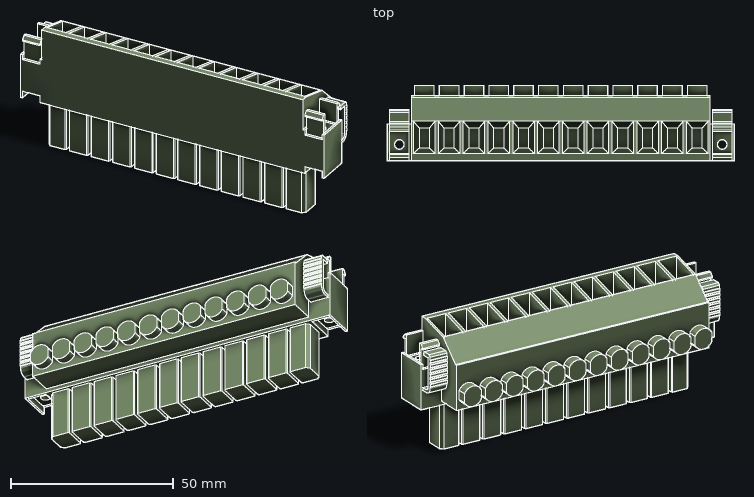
import cadquery as cq


POLES = 12
ROW_SPAN = 83.9
PITCH = ROW_SPAN / (POLES - 1)

BODY_LENGTH = 91.7
BODY_HEIGHT = 25.6
BODY_DEPTH = 20.1
FRONT_LAND = 2.2
RIDGE_Y = 12.3
RIDGE_HEIGHT = 23.0
BACK_LAND = 0.6
BACK_HEIGHT = 16.4
REAR_STEP = 1.3

TOTAL_LENGTH = 106.7
FLANGE_LENGTH = (TOTAL_LENGTH - BODY_LENGTH) / 2
FLANGE_DEPTH = 11.3
FLANGE_HEIGHT = 15.1
FLANGE_WALL = 1.0
TOP_NOTCH_Z = 13.4
FLANGE_X = BODY_LENGTH / 2 + FLANGE_LENGTH / 2

ENTRY_WIDTH = 6.6
ENTRY_FRONT_Y = FRONT_LAND
RIDGE_GAP = 0.1
ENTRY_BACK_Y = RIDGE_Y - RIDGE_GAP
ENTRY_STRAIGHT_BOTTOM = 14.9
ENTRY_FLOOR = 11.7
FLOOR_WIDTH = 3.1
FLOOR_FRONT_Y = 4.0
FLOOR_BACK_Y = 10.0

SCREW_RADIUS = 3.4
SCREW_WIDTH = 6.1
SCREW_LENGTH = 3.1
SCREW_Z = 6.3

LEG_WIDTH = 6.6
LEG_FRONT_Y = 2.2
LEG_DEPTH = 7.9
LEG_LENGTH = 15.6
LEG_CHAMFER = 0.3
OUTER_LEG_CHAMFER = 1.1

LATCH_WIDTH = 6.1
CORE_BOTTOM = 2.3
CORE_TOP = 14.3
LATCH_HOLE_DIAMETER = 2.9
LATCH_HOLE_Y = 5.0
PRONG_THICKNESS = 1.0
PRONG_FOOT_CHAMFER = 0.3
PRONG_TOP = 21.5
HOOK_TIP_Z = 20.4
HOOK_BOTTOM = 20.0
HOOK_REACH = 1.0
CORE_FRONT_Y = FLANGE_WALL
CORE_BACK_Y = FLANGE_DEPTH - FLANGE_WALL

LEVER_BACK_Y = 15.5
LEVER_THICKNESS = 1.3
LEVER_BOTTOM = 6.4
LEVER_ARM_THICKNESS = 1.0
LEVER_TOP = 19.6
LEVER_OUTER_RADIUS = 2.1
LEVER_INNER_RADIUS = 1.3
LEVER_TOP_CHAMFER = 0.6
LEVER_LIP_Y = 11.6
LEVER_LIP_CHAMFER = (0.4, 0.9)
RIB_COUNT = 6
RIB_PITCH = 1.6
RIB_HEIGHT = 1.0
RIB_DEPTH = 0.3
TOP_RIB_Z = 18.0


def box(x_center, width, y_range, z_range):
    """Box centred at x_center in X, between the given Y and Z limits."""
    y0, y1 = y_range
    z0, z1 = z_range
    return (
        cq.Workplane("XY", origin=(x_center, (y0 + y1) / 2, z0))
        .box(width, y1 - y0, z1 - z0, centered=(True, True, False))
    )


def extrude_profile(yz_outline, x_center, width):
    """Prism from a closed (Y, Z) outline, centred at x_center."""
    return (
        cq.Workplane("YZ", origin=(x_center, 0, 0))
        .polyline(yz_outline).close()
        .extrude(width / 2, both=True)
    )


def pole_positions():
    return [(i - (POLES - 1) / 2) * PITCH for i in range(POLES)]


def make_body():
    outline = [
        (0, 0),
        (FLANGE_DEPTH, 0),
        (FLANGE_DEPTH, REAR_STEP),
        (BODY_DEPTH, REAR_STEP),
        (BODY_DEPTH, BACK_HEIGHT),
        (BODY_DEPTH - BACK_LAND, BACK_HEIGHT),
        (RIDGE_Y, RIDGE_HEIGHT),
        (FRONT_LAND, BODY_HEIGHT),
        (0, BODY_HEIGHT),
    ]
    return extrude_profile(outline, 0, BODY_LENGTH)


def make_wire_entry(x):
    """Cutter: straight-sided mouth above a funnel that narrows to a flat floor."""
    mouth = box(
        x, ENTRY_WIDTH, (ENTRY_FRONT_Y, ENTRY_BACK_Y), (ENTRY_STRAIGHT_BOTTOM, BODY_HEIGHT)
    )
    mouth_y = (ENTRY_FRONT_Y + ENTRY_BACK_Y) / 2
    floor_y = (FLOOR_FRONT_Y + FLOOR_BACK_Y) / 2
    funnel = (
        cq.Workplane("XY", origin=(x, 0, ENTRY_FLOOR))
        .center(0, floor_y)
        .rect(FLOOR_WIDTH, FLOOR_BACK_Y - FLOOR_FRONT_Y)
        .workplane(offset=ENTRY_STRAIGHT_BOTTOM - ENTRY_FLOOR)
        .center(0, mouth_y - floor_y)
        .rect(ENTRY_WIDTH, ENTRY_BACK_Y - ENTRY_FRONT_Y)
        .loft()
    )
    return mouth.union(funnel)


def make_screw_head(x):
    y_range = (BODY_DEPTH, BODY_DEPTH + SCREW_LENGTH)
    disc = (
        cq.Workplane("XZ", origin=(x, BODY_DEPTH, SCREW_Z))
        .circle(SCREW_RADIUS)
        .extrude(-SCREW_LENGTH)
    )
    flats = box(x, SCREW_WIDTH, y_range, (SCREW_Z - SCREW_RADIUS, SCREW_Z + SCREW_RADIUS))
    return disc.intersect(flats)


def make_leg(x, left_chamfer, right_chamfer):
    leg = box(x, LEG_WIDTH, (LEG_FRONT_Y, LEG_FRONT_Y + LEG_DEPTH), (-LEG_LENGTH, 0))
    leg = leg.edges("|Z and <X").chamfer(left_chamfer)
    return leg.edges("|Z and >X").chamfer(right_chamfer)


def make_flange(side):
    """End flange, hollowed to hold a latch; side is -1 (left) or +1 (right)."""
    x = side * FLANGE_X
    flange = box(x, FLANGE_LENGTH, (0, FLANGE_DEPTH), (0, FLANGE_HEIGHT))
    cavity = box(x, LATCH_WIDTH, (CORE_FRONT_Y, CORE_BACK_Y), (0, FLANGE_HEIGHT))
    top_notch = box(x, LATCH_WIDTH, (0, FLANGE_DEPTH), (TOP_NOTCH_Z, FLANGE_HEIGHT))
    bottom_notch = box(x, LATCH_WIDTH, (0, CORE_FRONT_Y), (0, CORE_BOTTOM))
    lever_slot = box(
        x, LATCH_WIDTH, (CORE_BACK_Y, FLANGE_DEPTH),
        (LEVER_BOTTOM, LEVER_BOTTOM + LEVER_ARM_THICKNESS),
    )
    return flange.cut(cavity).cut(top_notch).cut(bottom_notch).cut(lever_slot)


def make_housing():
    housing = make_body()
    for side in (-1, 1):
        housing = housing.union(make_flange(side))
    for i, x in enumerate(pole_positions()):
        left_chamfer = OUTER_LEG_CHAMFER if i == 0 else LEG_CHAMFER
        right_chamfer = OUTER_LEG_CHAMFER if i == POLES - 1 else LEG_CHAMFER
        housing = housing.union(make_leg(x, left_chamfer, right_chamfer))
        housing = housing.union(make_screw_head(x))
        housing = housing.cut(make_wire_entry(x))
    return housing


def make_prong(x, outer_y, outward):
    """Upright prong with a hook; outward is -1 (hook to the front) or +1 (to the back)."""
    inner_y = outer_y - outward * PRONG_THICKNESS
    tip_y = outer_y + outward * HOOK_REACH
    outline = [
        (inner_y - outward * PRONG_FOOT_CHAMFER, CORE_TOP),
        (outer_y, CORE_TOP),
        (outer_y, HOOK_BOTTOM),
        (tip_y, HOOK_BOTTOM),
        (tip_y, HOOK_TIP_Z),
        (outer_y, PRONG_TOP),
        (inner_y, PRONG_TOP),
        (inner_y, CORE_TOP + PRONG_FOOT_CHAMFER),
    ]
    return extrude_profile(outline, x, LATCH_WIDTH)


def make_lever(x):
    """Finger lever: an arm out of the core, a bend, a ribbed grip and a lip at the top."""
    inner_y = LEVER_BACK_Y - LEVER_THICKNESS
    arm_top = LEVER_BOTTOM + LEVER_ARM_THICKNESS
    lip_bottom = LEVER_TOP - LEVER_THICKNESS
    lip_run, lip_drop = LEVER_LIP_CHAMFER
    lever = (
        cq.Workplane("YZ", origin=(x, 0, 0))
        .moveTo(CORE_BACK_Y, LEVER_BOTTOM)
        .lineTo(LEVER_BACK_Y - LEVER_OUTER_RADIUS, LEVER_BOTTOM)
        .radiusArc((LEVER_BACK_Y, LEVER_BOTTOM + LEVER_OUTER_RADIUS), -LEVER_OUTER_RADIUS)
        .lineTo(LEVER_BACK_Y, LEVER_TOP - LEVER_TOP_CHAMFER)
        .lineTo(LEVER_BACK_Y - LEVER_TOP_CHAMFER, LEVER_TOP)
        .lineTo(LEVER_LIP_Y + lip_run, LEVER_TOP)
        .lineTo(LEVER_LIP_Y, LEVER_TOP - lip_drop)
        .lineTo(LEVER_LIP_Y, lip_bottom)
        .lineTo(inner_y, lip_bottom)
        .lineTo(inner_y, arm_top + LEVER_INNER_RADIUS)
        .radiusArc((inner_y - LEVER_INNER_RADIUS, arm_top), LEVER_INNER_RADIUS)
        .lineTo(CORE_BACK_Y, arm_top)
        .close()
        .extrude(LATCH_WIDTH / 2, both=True)
    )
    for i in range(RIB_COUNT):
        rib_top = TOP_RIB_Z - i * RIB_PITCH
        rib = box(
            x, LATCH_WIDTH, (LEVER_BACK_Y, LEVER_BACK_Y + RIB_DEPTH), (rib_top - RIB_HEIGHT, rib_top)
        )
        lever = lever.union(rib)
    return lever


def make_latch(side):
    x = side * FLANGE_X
    core = box(x, LATCH_WIDTH, (CORE_FRONT_Y, CORE_BACK_Y), (CORE_BOTTOM, CORE_TOP))
    hole = (
        cq.Workplane("XY", origin=(x, LATCH_HOLE_Y, CORE_BOTTOM))
        .circle(LATCH_HOLE_DIAMETER / 2)
        .extrude(CORE_TOP - CORE_BOTTOM)
    )
    latch = core.cut(hole)
    latch = latch.union(make_prong(x, CORE_FRONT_Y, -1))
    latch = latch.union(make_prong(x, CORE_BACK_Y, 1))
    return latch.union(make_lever(x))


housing = make_housing()
latches = [make_latch(side) for side in (-1, 1)]

result = cq.Compound.makeCompound([housing.solids().val(), *[latch.solids().val() for latch in latches]])